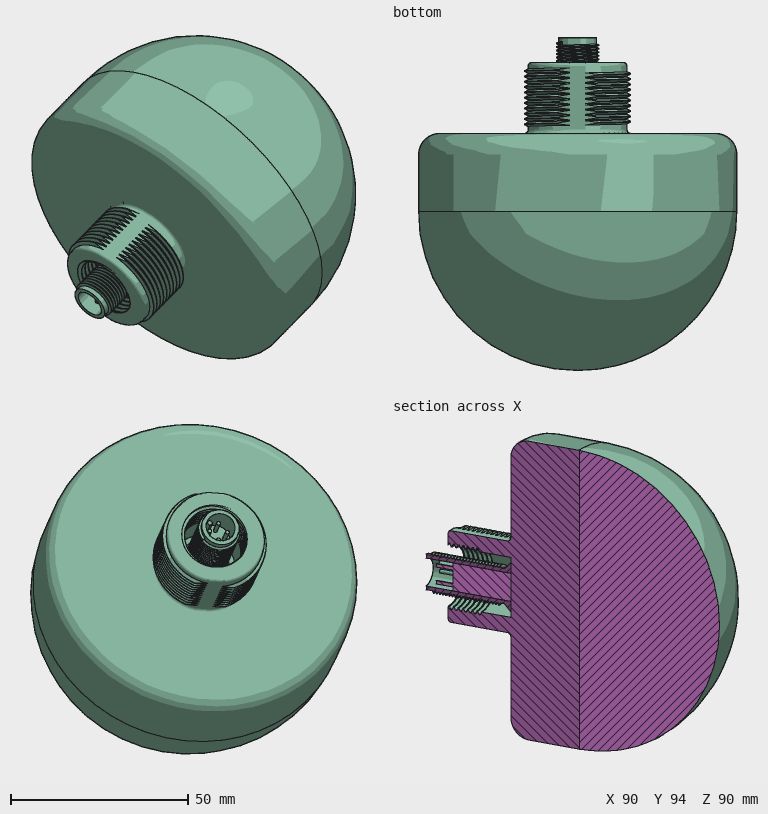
import cadquery as cq
import math


body_diameter = 90.0
body_radius = body_diameter / 2
base_height = 22.0
base_edge_radius = 6.0
total_length = 94.0

neck_length = 20.0
neck_root_radius = 14.0
neck_crest_radius = 14.9
neck_thread_pitch = 1.5
neck_thread_end_gap = 2.4
neck_half_turns = 21
neck_flat_height = 13.8
neck_round_radius = 1.0

bore_radius = 8.9
bore_groove_radius = 9.9
bore_turns = 8
bore_thread_turn = 180.0

shell_root_radius = 5.4
shell_crest_radius = 6.0
shell_thread_pitch = 1.0
shell_plain_tip = 1.0
shell_foot_radius = 7.3
shell_foot_chamfer_share = 0.99
shell_bore_radius = 4.1
key_width = 1.2
key_inner_radius = 2.9
key_direction = 135.0

insert_depth = 8.5
pin_radius = 0.6
pin_circle_radius = 2.5
pin_depth = 3.2
pin_count = 4

thread_base_share = 0.8
thread_crest_share = 0.15
thread_overlap = 0.1

neck_start = base_height
neck_end = neck_start + neck_length
connector_end = total_length - body_radius
insert_top = connector_end - insert_depth


def rod(start, end, radius):
    """Cylinder on the axis between two distances from the dome joint."""
    return cq.Workplane("XZ", origin=(0, -start, 0)).circle(radius).extrude(end - start)


def helical_thread(start, end, base_radius, crest_radius, pitch):
    """Right-hand helical ridge on the axis, wide at base_radius and narrow at crest_radius.

    The ridge reaches thread_overlap past base_radius, so that it merges with the wall there.
    """
    crest_half = pitch * thread_crest_share / 2
    base_half = pitch * thread_base_share / 2
    flank_slope = (base_half - crest_half) / (crest_radius - base_radius)
    buried_radius = base_radius - math.copysign(thread_overlap, crest_radius - base_radius)
    buried_half = crest_half + flank_slope * (crest_radius - buried_radius)
    path = cq.Wire.makeHelix(pitch, end - start, base_radius)
    section = cq.Wire.makePolygon(
        [
            cq.Vector(buried_radius, 0, -buried_half),
            cq.Vector(crest_radius, 0, -crest_half),
            cq.Vector(crest_radius, 0, crest_half),
            cq.Vector(buried_radius, 0, buried_half),
        ],
        close=True,
    )
    ridge = cq.Solid.sweep(section, [], path, makeSolid=True, isFrenet=True)
    upright = cq.Workplane("XY").newObject([ridge])
    return upright.rotate((0, 0, 0), (1, 0, 0), 90).translate((0, -start, 0))


def make_dome():
    profile = (
        cq.Workplane("XY")
        .moveTo(0, 0)
        .lineTo(body_radius, 0)
        .radiusArc((0, body_radius), -body_radius)
        .close()
    )
    return profile.revolve(360, (0, 0, 0), (0, 1, 0))


def between_flats(body):
    """Keep only the part of a neck body that lies between the two flats."""
    slab = cq.Workplane("XZ", origin=(0, -neck_start, 0))
    slab = slab.rect(body_diameter, 2 * neck_flat_height).extrude(neck_length)
    return body.intersect(slab)


def make_neck_ridges():
    """Half turns of the outside thread, on the -X and +X sides in turn, parted by the flats."""
    first_crest = neck_end - neck_thread_end_gap
    half_turn = helical_thread(
        first_crest - neck_thread_pitch / 4,
        first_crest + neck_thread_pitch / 4,
        neck_root_radius,
        neck_crest_radius,
        neck_thread_pitch,
    ).rotate((0, 0, 0), (0, 1, 0), -90)
    half_turn = between_flats(half_turn)
    return [
        half_turn.rotate((0, 0, 0), (0, 1, 0), 180 * step)
        .translate((0, step * neck_thread_pitch / 2, 0))
        .val()
        for step in range(neck_half_turns)
    ]


def make_bore_grooves():
    """Single turns of the bore's inside thread, end to end from past the mouth inwards."""
    thread_end = neck_end + neck_thread_pitch
    turn = helical_thread(
        thread_end - neck_thread_pitch,
        thread_end,
        bore_radius,
        bore_groove_radius,
        neck_thread_pitch,
    ).rotate((0, 0, 0), (0, 1, 0), bore_thread_turn)
    return [turn.translate((0, step * neck_thread_pitch, 0)).val() for step in range(bore_turns)]


def make_base():
    disc = rod(0, base_height, body_radius).faces("<Y").edges().fillet(base_edge_radius)
    neck = between_flats(rod(neck_start, neck_end, neck_root_radius))
    neck = neck.faces("<Y").edges().fillet(neck_round_radius)
    base = disc.union(neck)

    reach = neck_crest_radius
    joint = cq.selectors.BoxSelector(
        (-reach, -neck_start - neck_round_radius / 2, -reach),
        (reach, -neck_start + neck_round_radius / 2, reach),
        boundingbox=True,
    )
    base = base.edges(joint).fillet(neck_round_radius)

    base = base.union(cq.Workplane("XY").newObject(make_neck_ridges()), clean=False)
    base = base.cut(rod(neck_start, neck_end, bore_radius), clean=False)
    return base.cut(cq.Workplane("XY").newObject(make_bore_grooves()), clean=False)


def make_key():
    """Keying rib inside the shell bore, rooted in the shell wall."""
    key_outer_radius = (shell_bore_radius + shell_root_radius) / 2
    return (
        cq.Workplane("XZ", origin=(0, -insert_top, 0))
        .center((key_inner_radius + key_outer_radius) / 2, 0)
        .rect(key_outer_radius - key_inner_radius, key_width)
        .extrude(insert_depth - pin_depth)
        .rotate((0, 0, 0), (0, 1, 0), -key_direction)
    )


def make_shell():
    shell = rod(neck_start, connector_end, shell_root_radius)
    foot_height = shell_foot_radius - shell_root_radius
    foot = rod(neck_start, neck_start + foot_height, shell_foot_radius)
    foot = foot.faces("<Y").edges().chamfer(foot_height * shell_foot_chamfer_share)
    thread = helical_thread(
        neck_start + foot_height + shell_thread_pitch,
        connector_end - shell_plain_tip - shell_thread_pitch / 2,
        shell_root_radius,
        shell_crest_radius,
        shell_thread_pitch,
    )
    shell = shell.union(foot).union(thread).cut(rod(neck_start, connector_end, shell_bore_radius))
    return shell.union(make_key())


def make_insert():
    """Plug filling the inner end of the shell bore, with its contact pins."""
    plug = rod(neck_start, insert_top, shell_bore_radius)
    pins = (
        cq.Workplane("XZ", origin=(0, -insert_top, 0))
        .polarArray(pin_circle_radius, 0, 360, pin_count)
        .circle(pin_radius)
        .extrude(insert_depth - pin_depth)
    )
    return plug.union(pins)


dome = make_dome()
base = make_base()
shell = make_shell()
insert = make_insert()

result = cq.Compound.makeCompound([dome.val(), base.val(), shell.val(), insert.val()])